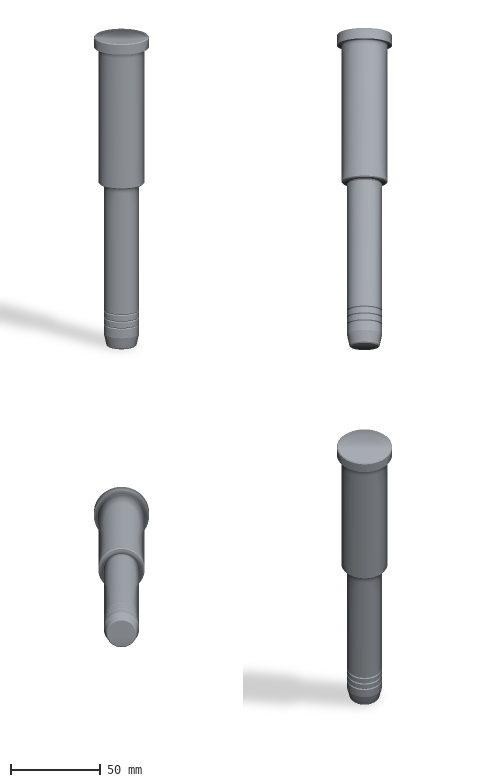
import cadquery as cq
import math

total_length = 181.0

head_diameter = 31.0
head_height = 6.2
head_chamfer = 0.5

shank_diameter = 26.0
shank_end_depth = 85.8
shank_chamfer = 0.5
root_fillet = 0.5

neck_diameter = 18.5
neck_length = 1.0

pin_diameter = 20.0
taper_length = 7.0
tip_diameter = 17.0
tip_chamfer = 0.5

groove_count = 3
groove_pitch = 4.0
groove_width = 0.9
groove_depth = 0.5
lowest_groove_height = 12.7

shank_bottom = total_length - shank_end_depth
pin_top = shank_bottom - neck_length
head_bottom = total_length - head_height


def ring_groove(center_height):
    """V-shaped ring to cut from the surface of the guide pin."""
    surface = pin_diameter / 2
    half_width = groove_width / 2
    return (
        cq.Workplane("XZ")
        .moveTo(surface - groove_depth, center_height)
        .lineTo(surface, center_height + half_width)
        .lineTo(surface, center_height - half_width)
        .close()
        .revolve(360, (0, 0, 0), (0, 1, 0))
    )


head_radius = head_diameter / 2
shank_radius = shank_diameter / 2
neck_radius = neck_diameter / 2
pin_radius = pin_diameter / 2
tip_radius = tip_diameter / 2

fillet_mid_offset = root_fillet * (1 - math.sqrt(0.5))
fillet_mid = (shank_radius + fillet_mid_offset, head_bottom - fillet_mid_offset)

result = (
    cq.Workplane("XZ")
    .lineTo(tip_radius - tip_chamfer, 0)
    .lineTo(tip_radius, tip_chamfer)
    .lineTo(pin_radius, taper_length)
    .lineTo(pin_radius, pin_top)
    .lineTo(neck_radius, pin_top)
    .lineTo(neck_radius, shank_bottom)
    .lineTo(shank_radius - shank_chamfer, shank_bottom)
    .lineTo(shank_radius, shank_bottom + shank_chamfer)
    .lineTo(shank_radius, head_bottom - root_fillet)
    .threePointArc(fillet_mid, (shank_radius + root_fillet, head_bottom))
    .lineTo(head_radius, head_bottom)
    .lineTo(head_radius, total_length - head_chamfer)
    .lineTo(head_radius - head_chamfer, total_length)
    .lineTo(0, total_length)
    .close()
    .revolve(360, (0, 0, 0), (0, 1, 0))
)

for index in range(groove_count):
    result = result.cut(ring_groove(lowest_groove_height + index * groove_pitch))